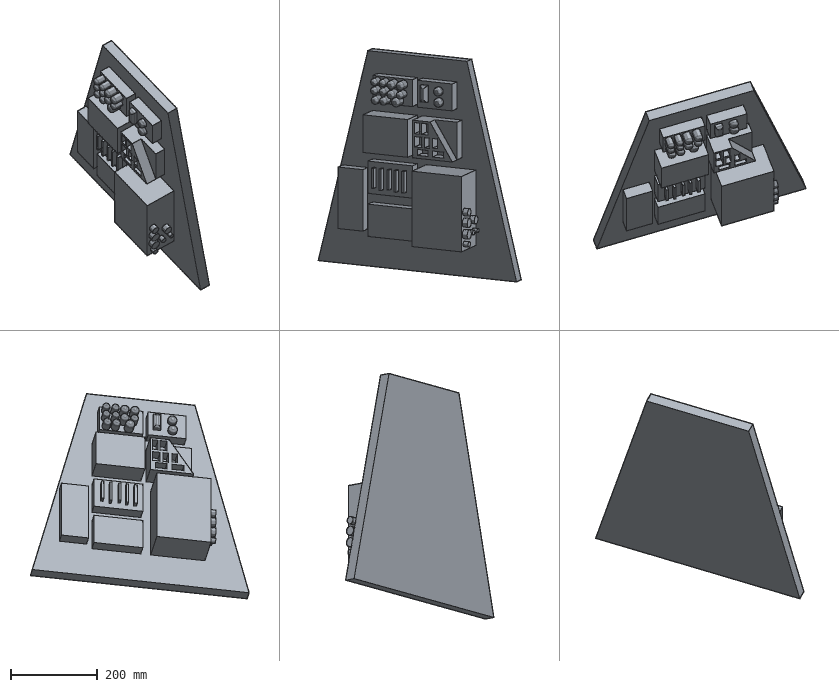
import cadquery as cq


INCH = 25.4

PLATE_HEIGHT = 20 * INCH
PLATE_BOTTOM_WIDTH = 20 * INCH
PLATE_TOP_WIDTH = 10 * INCH
PLATE_THICKNESS = 1 * INCH

SHALLOW = 1 * INCH
MEDIUM = 2 * INCH
DEEP = 3 * INCH

LEFT_COLUMN_X = (-4.5 * INCH, 0)
RIGHT_COLUMN_LEFT = 0.5 * INCH
TOP_ROW_Z = (15.5 * INCH, 18 * INCH)
SECOND_ROW_Z = (11 * INCH, 14.5 * INCH)
THIRD_ROW_Z = (7 * INCH, 10 * INCH)
BOTTOM_ROW_Z = (3 * INCH, 6 * INCH)

BUTTON_BOX_X = (-4 * INCH, 0)
DIAL_BOX_X = (RIGHT_COLUMN_LEFT, 4 * INCH)
POCKET_BOX_X = (RIGHT_COLUMN_LEFT, 4.5 * INCH)
SIDE_BOX_X = (-7.5 * INCH, -5 * INCH)
SIDE_BOX_Z = (87.3, 232.4)
MAIN_BOX_LEFT = 23.2
MAIN_BOX_X = (MAIN_BOX_LEFT, MAIN_BOX_LEFT + 5 * INCH)
MAIN_BOX_Z = (BOTTOM_ROW_Z[0], THIRD_ROW_Z[1])

CROWN_RADIUS = 0.25 * INCH

BUTTON_LENGTH = 1 * INCH
BUTTONS = [
    (-88.9, 446.6, 16.39),
    (-67.5, 446.6, 16.39),
    (-45.7, 444.4, 19.5),
    (-22.0, 444.4, 19.5),
    (-88.9, 426.3, 17.01),
    (-66.6, 426.3, 16.39),
    (-45.7, 421.2, 19.5),
    (-22.8, 422.2, 17.39),
    (-86.5, 403.9, 18.36),
    (-65.1, 403.9, 18.36),
    (-33.2, 404.5, 21.23),
]

DIAL_LENGTH = 0.5 * INCH
DIALS = [
    (68.1, 437.1, 20.87),
    (69.0, 411.2, 21.43),
]
ROCKER_X = (23.6, 41.1)
ROCKER_Z = (409.0, 448.2)

SLAT_DEPTH = 0.5 * INCH
SLAT_TOP = 241.2
SHORT_SLAT_BOTTOM = 194.0
LONG_SLAT_BOTTOM = 190.5
SLATS = [
    (-98.8, -93.5, SHORT_SLAT_BOTTOM),
    (-79.5, -74.3, LONG_SLAT_BOTTOM),
    (-58.6, -53.3, SHORT_SLAT_BOTTOM),
    (-41.1, -35.8, LONG_SLAT_BOTTOM),
    (-21.9, -14.9, LONG_SLAT_BOTTOM),
]

POCKET_DEPTH = 1 * INCH
UPPER_POCKET_Z = (337.0, 363.1)
MIDDLE_POCKET_Z = (305.6, 330.0)
SHORT_MIDDLE_POCKET_Z = (307.4, 330.0)
LOWER_POCKET_Z = (286.4, 300.5)
POCKETS = [
    ((17.9, 30.6), UPPER_POCKET_Z),
    ((35.8, 51.6), UPPER_POCKET_Z),
    ((17.9, 35.8), MIDDLE_POCKET_Z),
    ((42.8, 55.1), MIDDLE_POCKET_Z),
    ((63.8, 76.0), SHORT_MIDDLE_POCKET_Z),
    ((25.3, 51.6), LOWER_POCKET_Z),
    ((63.8, 91.8), LOWER_POCKET_Z),
]

STEP_START_X = 2.25 * INCH
STEP_DEPTH = 1 * INCH

KNOB_LENGTH = 0.5 * INCH
FRONT_KNOB_Y = -61.2
KNOBS = [
    (FRONT_KNOB_Y, 167.5, 17.39),
    (FRONT_KNOB_Y, 142.6, 21.23),
    (FRONT_KNOB_Y, 115.4, 21.43),
    (FRONT_KNOB_Y, 92.0, 12.64),
    (-25.2, 142.6, 18.64),
    (-15.4, 115.4, 9.84),
    (-37.6, 115.4, 11.97),
]


def block(x_range, z_range, depth, base=0):
    """Box over the given X and Z ranges, reaching `depth` forward from `base` in front of the plate."""
    width = x_range[1] - x_range[0]
    height = z_range[1] - z_range[0]
    corner = (x_range[0], -base - depth, z_range[0])
    return cq.Workplane("XY").box(width, depth, height, centered=False).translate(corner)


def crowned_cylinder(x, z, diameter, length, base):
    """Cylinder pointing forward from `base`, with a rounded front edge."""
    cylinder = cq.Workplane("XZ", origin=(x, -base, z)).circle(diameter / 2).extrude(length)
    return cylinder.faces("<Y").edges().fillet(CROWN_RADIUS)


def back_plate():
    return (
        cq.Workplane("XZ")
        .moveTo(-PLATE_BOTTOM_WIDTH / 2, 0)
        .lineTo(PLATE_BOTTOM_WIDTH / 2, 0)
        .lineTo(PLATE_TOP_WIDTH / 2, PLATE_HEIGHT)
        .lineTo(-PLATE_TOP_WIDTH / 2, PLATE_HEIGHT)
        .close()
        .extrude(-PLATE_THICKNESS)
    )


def button_box():
    body = block(BUTTON_BOX_X, TOP_ROW_Z, SHALLOW)
    for x, z, diameter in BUTTONS:
        body = body.union(crowned_cylinder(x, z, diameter, BUTTON_LENGTH, SHALLOW))
    return body


def dial_box():
    body = block(DIAL_BOX_X, TOP_ROW_Z, SHALLOW)
    for x, z, diameter in DIALS:
        body = body.union(crowned_cylinder(x, z, diameter, DIAL_LENGTH, SHALLOW))
    rocker = block(ROCKER_X, ROCKER_Z, DIAL_LENGTH, SHALLOW)
    return body.union(rocker.faces("<Y").edges().fillet(CROWN_RADIUS))


def pocket_box():
    right = POCKET_BOX_X[1]
    bottom, top = SECOND_ROW_Z
    step = (
        cq.Workplane("XZ", origin=(0, -(MEDIUM - STEP_DEPTH), 0))
        .moveTo(STEP_START_X, top)
        .lineTo(right, top)
        .lineTo(right, bottom)
        .close()
        .extrude(STEP_DEPTH)
    )
    body = block(POCKET_BOX_X, SECOND_ROW_Z, MEDIUM).cut(step)
    for x_range, z_range in POCKETS:
        body = body.cut(block(x_range, z_range, POCKET_DEPTH, MEDIUM - POCKET_DEPTH))
    return body


def slat_box():
    body = block(LEFT_COLUMN_X, THIRD_ROW_Z, SHALLOW)
    for left, right, bottom in SLATS:
        body = body.union(block((left, right), (bottom, SLAT_TOP), SLAT_DEPTH, SHALLOW))
    return body


def main_box():
    body = block(MAIN_BOX_X, MAIN_BOX_Z, DEEP)
    for y, z, diameter in KNOBS:
        knob = cq.Workplane("YZ", origin=(MAIN_BOX_X[1], y, z)).circle(diameter / 2).extrude(KNOB_LENGTH)
        body = body.union(knob)
    return body


result = (
    back_plate()
    .union(button_box())
    .union(dial_box())
    .union(block(LEFT_COLUMN_X, SECOND_ROW_Z, MEDIUM))
    .union(pocket_box())
    .union(slat_box())
    .union(block(LEFT_COLUMN_X, BOTTOM_ROW_Z, SHALLOW))
    .union(block(SIDE_BOX_X, SIDE_BOX_Z, SHALLOW))
    .union(main_box())
)